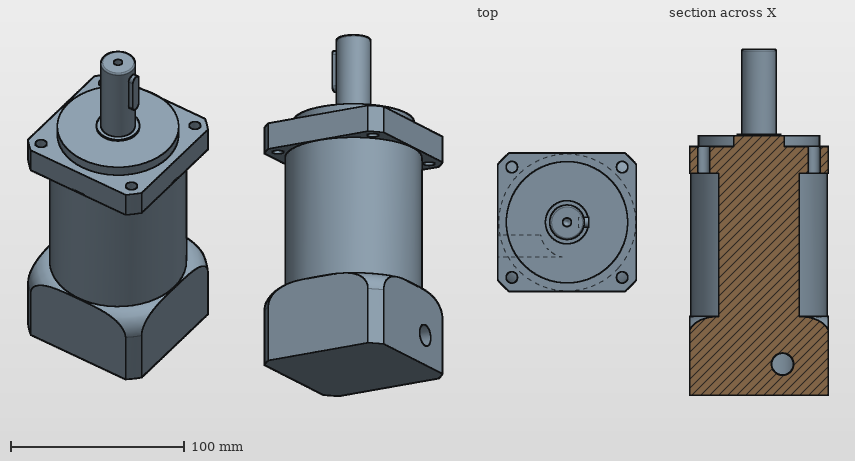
import cadquery as cq
import math

TOTAL_HEIGHT = 199.5
COLLAR_TOP = 150.6
PILOT_TOP = 149.6
FLANGE_TOP = 143.5
FLANGE_BOTTOM = 127.9
ADAPTER_TOP = 45.5

SQUARE_SIDE = 80.0
CORNER_RADIUS = 52.0

BODY_RADIUS = 39.5
PILOT_DIAMETER = 70.0
COLLAR_DIAMETER = 25.0
SHAFT_DIAMETER = 20.0
SHAFT_END_FILLET = 1.0

CENTRE_HOLE_DIAMETER = 5.0
CENTRE_HOLE_DEPTH = 12.5
DRILL_POINT_ANGLE = 120.0

MOUNTING_HOLE_DIAMETER = 6.5
MOUNTING_CIRCLE_DIAMETER = 90.0

ACCESS_HOLE_DIAMETER = 12.5
ACCESS_HOLE_Y = -13.5
ACCESS_HOLE_Z = 18.0
FLOOR_RADIUS = 15.5
FLOOR_CENTRE_Y = -4.5

KEY_LENGTH = 25.0
KEY_WIDTH = 6.0
KEY_HEIGHT = 6.0
KEY_OUTER_X = 12.5
KEY_END_GAP = 5.0


def disc(diameter, bottom, top):
    """Cylinder on the gearbox axis between two heights."""
    return cq.Workplane("XY").workplane(offset=bottom).circle(diameter / 2).extrude(top - bottom)


def square_block(bottom, top):
    """Square section whose corners are cut back to a common turned radius."""
    square = (
        cq.Workplane("XY").workplane(offset=bottom).rect(SQUARE_SIDE, SQUARE_SIDE).extrude(top - bottom)
    )
    return square.intersect(disc(2 * CORNER_RADIUS, bottom, top))


def make_adapter():
    """Motor adapter: square block whose upper corners are rounded down from the round body."""
    corner_round = CORNER_RADIUS - BODY_RADIUS
    envelope = disc(2 * CORNER_RADIUS, 0, ADAPTER_TOP).faces(">Z").edges().fillet(corner_round)
    return square_block(0, ADAPTER_TOP).intersect(envelope)


def make_flange():
    """Output flange with four through holes on its diagonals."""
    holes = (
        cq.Workplane("XY")
        .workplane(offset=FLANGE_BOTTOM)
        .polarArray(MOUNTING_CIRCLE_DIAMETER / 2, 45, 360, 4)
        .circle(MOUNTING_HOLE_DIAMETER / 2)
        .extrude(FLANGE_TOP - FLANGE_BOTTOM)
    )
    return square_block(FLANGE_BOTTOM, FLANGE_TOP).cut(holes)


def make_shaft():
    """Output shaft with a rounded end edge."""
    shaft = disc(SHAFT_DIAMETER, COLLAR_TOP, TOTAL_HEIGHT)
    return shaft.faces(">Z").edges().fillet(SHAFT_END_FILLET)


def make_centre_hole():
    """Drilled hole with a conical bottom, as a solid to cut from the shaft end."""
    radius = CENTRE_HOLE_DIAMETER / 2
    point_height = radius / math.tan(math.radians(DRILL_POINT_ANGLE / 2))
    shoulder = TOTAL_HEIGHT - CENTRE_HOLE_DEPTH
    half_section = [
        (0, TOTAL_HEIGHT),
        (radius, TOTAL_HEIGHT),
        (radius, shoulder),
        (0, shoulder - point_height),
    ]
    return cq.Workplane("XZ").polyline(half_section).close().revolve(360, (0, 0), (0, 1))


def make_access_hole():
    """Hole from the -X side, as a solid to cut, ending on the side of an upright cylinder."""
    hole = (
        cq.Workplane("YZ")
        .center(ACCESS_HOLE_Y, ACCESS_HOLE_Z)
        .circle(ACCESS_HOLE_DIAMETER / 2)
        .extrude(-SQUARE_SIDE / 2)
    )
    floor = disc(2 * FLOOR_RADIUS, 0, ADAPTER_TOP).translate((0, FLOOR_CENTRE_Y, 0))
    return hole.cut(floor)


def make_key():
    """Round-ended key standing out of the +X side of the shaft."""
    key_centre_z = TOTAL_HEIGHT - KEY_END_GAP - KEY_LENGTH / 2
    return (
        cq.Workplane("YZ")
        .workplane(offset=KEY_OUTER_X - KEY_HEIGHT)
        .center(0, key_centre_z)
        .slot2D(KEY_LENGTH, KEY_WIDTH, 90)
        .extrude(KEY_HEIGHT)
    )


def make_gearbox(key):
    """Housing and output shaft in one solid, with a keyway that fits the key."""
    return (
        make_adapter()
        .union(disc(2 * BODY_RADIUS, ADAPTER_TOP, FLANGE_BOTTOM))
        .union(make_flange())
        .union(disc(PILOT_DIAMETER, FLANGE_TOP, PILOT_TOP))
        .union(disc(COLLAR_DIAMETER, PILOT_TOP, COLLAR_TOP))
        .union(make_shaft())
        .cut(make_centre_hole())
        .cut(make_access_hole())
        .cut(key)
    )


shaft_key = make_key()
gearbox = make_gearbox(shaft_key)

result = cq.Compound.makeCompound([gearbox.solids().val(), shaft_key.val()])